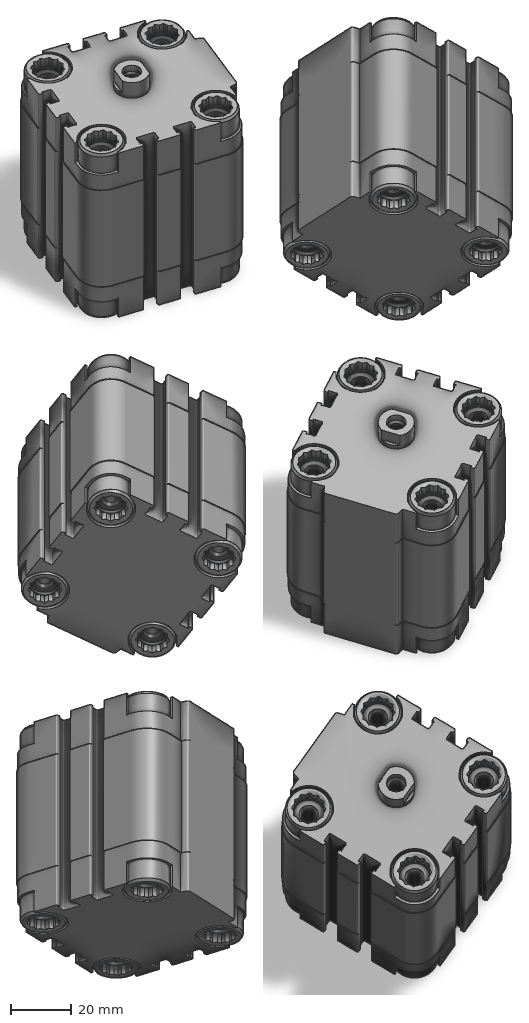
import cadquery as cq
import math

HOUSING_HEIGHT = 70.4
TOTAL_HEIGHT = 77.0
CAP_HEIGHT = 14.5

BARREL_WIDTH = 60.0
CAP_INSET = 0.3
SCREW_OFFSET = 21.0
PAD_RISE = 2.55
PAD_TOP_HALF_WIDTH = 13.3
PAD_BASE_HALF_WIDTH = 14.1
PAD_CAP_INSET = 0.15
PAD_EDGE_RADIUS = 1.0
PAD_TOP_Y = BARREL_WIDTH / 2 + PAD_RISE

SLOT_OFFSET = 6.8
SLOT_MOUTH_WIDTH = 5.2
SLOT_INNER_WIDTH = 6.8
SLOT_LIP_DEPTH = 28.2
SLOT_FLOOR_DEPTH = 24.9
SLOT_ROUNDING = 0.5

POCKET_DEPTH = 8.0
POCKET_DIAMETER = 16.4
POCKET_WALL_OFFSET = 18.8
HEAD_DIAMETER = 15.55
HEAD_CHAMFER_WIDTH = 0.6
HEAD_CHAMFER_HEIGHT = 1.0

SOCKET_VALLEY_DIAMETER = 10.1
SOCKET_FUNNEL_DIAMETER = 12.6
SOCKET_FUNNEL_DEPTH = 0.4
SOCKET_STAR_DEPTH = 3.7
SOCKET_DEPTH = 5.0
COUNTERSINK_DEPTH = 1.2

THREAD_DIAMETER = 4.9
THREAD_MOUTH_DIAMETER = 6.4

ROD_DIAMETER = 12.0
ROD_ACROSS_FLATS = 10.0
ROD_FLAT_HEIGHT = 4.85
ROD_BOTTOM = HOUSING_HEIGHT - CAP_HEIGHT
ROD_COUNTERBORE_DEPTH = 2.6
ROD_STEP_DEPTH = (THREAD_MOUTH_DIAMETER - THREAD_DIAMETER) / 2
ROD_THREAD_DEPTH = 12.0
DRILL_POINT_ANGLE = 118


def cylinder(diameter, bottom, height):
    return cq.Workplane("XY", origin=(0, 0, bottom)).circle(diameter / 2).extrude(height)


def cone(bottom_diameter, top_diameter, bottom, height):
    return cq.Workplane(
        cq.Solid.makeCone(bottom_diameter / 2, top_diameter / 2, height, pnt=cq.Vector(0, 0, bottom))
    )


def slot_cutter(face, bottom, height):
    """Undercut slot opening toward +X through a side at distance face, centred on Y = 0."""
    mouth = SLOT_MOUTH_WIDTH / 2
    inner = SLOT_INNER_WIDTH / 2
    cutter = (
        cq.Workplane("XY", origin=(0, 0, bottom))
        .moveTo(face, mouth + SLOT_ROUNDING)
        .radiusArc((face - SLOT_ROUNDING, mouth), SLOT_ROUNDING)
        .lineTo(SLOT_LIP_DEPTH, mouth)
        .lineTo(SLOT_LIP_DEPTH, inner)
        .lineTo(SLOT_FLOOR_DEPTH, inner)
        .lineTo(SLOT_FLOOR_DEPTH, -inner)
        .lineTo(SLOT_LIP_DEPTH, -inner)
        .lineTo(SLOT_LIP_DEPTH, -mouth)
        .lineTo(face - SLOT_ROUNDING, -mouth)
        .radiusArc((face, -mouth - SLOT_ROUNDING), SLOT_ROUNDING)
        .close()
        .extrude(height)
    )
    return cutter.edges("|Z and <X").fillet(SLOT_ROUNDING)


def pad(flank_inset, bottom, height):
    """Raised pad on the +Y side, with sloping flanks and rounded long edges."""
    base = PAD_BASE_HALF_WIDTH - flank_inset
    top = PAD_TOP_HALF_WIDTH - flank_inset
    base_y = BARREL_WIDTH / 2 - CAP_INSET
    outline = [(-base, 0), (base, 0), (base, base_y), (top, PAD_TOP_Y), (-top, PAD_TOP_Y), (-base, base_y)]
    return (
        cq.Workplane("XY", origin=(0, 0, bottom))
        .polyline(outline)
        .close()
        .extrude(height)
        .edges("|Z and >Y")
        .fillet(PAD_EDGE_RADIUS)
    )


def section(inset, flank_inset, bottom, height):
    """One length of the housing profile, its sides and pad flanks moved inward by the insets."""
    face = BARREL_WIDTH / 2 - inset
    body = (
        cq.Workplane("XY", origin=(0, 0, bottom))
        .rect(2 * face, 2 * face)
        .extrude(height)
        .edges("|Z")
        .fillet(face - SCREW_OFFSET)
        .union(pad(flank_inset, bottom, height))
    )
    for side_angle in (0, 180, 270):
        for offset in (-SLOT_OFFSET, SLOT_OFFSET):
            cutter = slot_cutter(face, bottom, height).translate((0, offset, 0))
            body = body.cut(cutter.rotate((0, 0, 0), (0, 0, 1), side_angle))
    return body


def at_corners(shape):
    """Four copies of a shape, drawn about the Z axis as for the +X +Y corner, one at each screw axis."""
    placed = shape.translate((SCREW_OFFSET, SCREW_OFFSET, 0))
    return [placed.rotate((0, 0, 0), (0, 0, 1), angle) for angle in (0, 90, 180, 270)]


def at_both_ends(shape):
    """A shape at the top end of the housing and its mirror image at the bottom end."""
    mirrored = shape.mirror("XY", (0, 0, HOUSING_HEIGHT / 2))
    return [shape, mirrored]


def pocket_cutter():
    floor = HOUSING_HEIGHT - POCKET_DEPTH
    wall = POCKET_WALL_OFFSET - SCREW_OFFSET
    open_corner = (
        cq.Workplane("XY", origin=(wall, wall, floor))
        .rect(POCKET_DIAMETER, POCKET_DIAMETER, centered=False)
        .extrude(POCKET_DEPTH)
    )
    return cylinder(POCKET_DIAMETER, floor, POCKET_DEPTH).union(open_corner)


def screw_head():
    straight_height = POCKET_DEPTH - HEAD_CHAMFER_HEIGHT
    chamfer_bottom = HOUSING_HEIGHT - HEAD_CHAMFER_HEIGHT
    rim_diameter = HEAD_DIAMETER - 2 * HEAD_CHAMFER_WIDTH
    shank = cylinder(HEAD_DIAMETER, HOUSING_HEIGHT - POCKET_DEPTH, straight_height)
    return shank.union(cone(HEAD_DIAMETER, rim_diameter, chamfer_bottom, HEAD_CHAMFER_HEIGHT))


def socket_cutter():
    """Funnel, twelve-point star, round relief below the star, and the tapered mouth of the screw bore."""
    across_flats = SOCKET_VALLEY_DIAMETER * math.cos(math.radians(15))
    point_diameter = across_flats / math.cos(math.radians(30))
    floor = HOUSING_HEIGHT - SOCKET_DEPTH
    cutter = cylinder(SOCKET_VALLEY_DIAMETER, floor, SOCKET_DEPTH)
    hexagon = (
        cq.Workplane("XY", origin=(0, 0, HOUSING_HEIGHT - SOCKET_STAR_DEPTH))
        .polygon(6, point_diameter)
        .extrude(SOCKET_STAR_DEPTH)
    )
    for angle in (0, 30):
        cutter = cutter.union(hexagon.rotate((0, 0, 0), (0, 0, 1), angle))
    funnel_bottom = HOUSING_HEIGHT - SOCKET_FUNNEL_DEPTH
    cutter = cutter.union(
        cone(SOCKET_VALLEY_DIAMETER, SOCKET_FUNNEL_DIAMETER, funnel_bottom, SOCKET_FUNNEL_DEPTH)
    )
    countersink_bottom = floor - COUNTERSINK_DEPTH
    return cutter.union(cone(THREAD_DIAMETER, THREAD_MOUTH_DIAMETER, countersink_bottom, COUNTERSINK_DEPTH))


def make_housing():
    barrel_height = HOUSING_HEIGHT - 2 * CAP_HEIGHT
    housing = section(0, 0, CAP_HEIGHT, barrel_height)
    top_cap = section(CAP_INSET, PAD_CAP_INSET, HOUSING_HEIGHT - CAP_HEIGHT, CAP_HEIGHT)
    for cap in at_both_ends(top_cap):
        housing = housing.union(cap)

    pocket = pocket_cutter()
    head = screw_head()
    socket = socket_cutter()
    corners = zip(at_corners(pocket), at_corners(head), at_corners(socket))
    for corner_pocket, corner_head, corner_socket in corners:
        for cutter in at_both_ends(corner_pocket):
            housing = housing.cut(cutter)
        for solid_head in at_both_ends(corner_head):
            housing = housing.union(solid_head)
        for cutter in at_both_ends(corner_socket):
            housing = housing.cut(cutter)
    for bore in at_corners(cylinder(THREAD_DIAMETER, 0, HOUSING_HEIGHT)):
        housing = housing.cut(bore)

    return housing.cut(cylinder(ROD_DIAMETER, ROD_BOTTOM, CAP_HEIGHT))


def make_rod():
    rod = cylinder(ROD_DIAMETER, ROD_BOTTOM, TOTAL_HEIGHT - ROD_BOTTOM)

    flat_bottom = TOTAL_HEIGHT - ROD_FLAT_HEIGHT
    kept = (
        cq.Workplane("XY", origin=(0, 0, flat_bottom))
        .rect(ROD_DIAMETER, ROD_ACROSS_FLATS)
        .extrude(ROD_FLAT_HEIGHT)
    )
    rod = rod.cut(cylinder(ROD_DIAMETER, flat_bottom, ROD_FLAT_HEIGHT).cut(kept))

    counterbore_floor = TOTAL_HEIGHT - ROD_COUNTERBORE_DEPTH
    step_bottom = counterbore_floor - ROD_STEP_DEPTH
    hole_bottom = TOTAL_HEIGHT - ROD_THREAD_DEPTH
    point_depth = THREAD_DIAMETER / 2 / math.tan(math.radians(DRILL_POINT_ANGLE / 2))
    rod = rod.cut(cylinder(THREAD_DIAMETER, hole_bottom, ROD_THREAD_DEPTH))
    rod = rod.cut(cylinder(THREAD_MOUTH_DIAMETER, counterbore_floor, ROD_COUNTERBORE_DEPTH))
    rod = rod.cut(cone(THREAD_DIAMETER, THREAD_MOUTH_DIAMETER, step_bottom, ROD_STEP_DEPTH))
    return rod.cut(cone(0, THREAD_DIAMETER, hole_bottom - point_depth, point_depth))


housing = make_housing()
rod = make_rod()
result = cq.Compound.makeCompound([housing.val(), rod.val()])